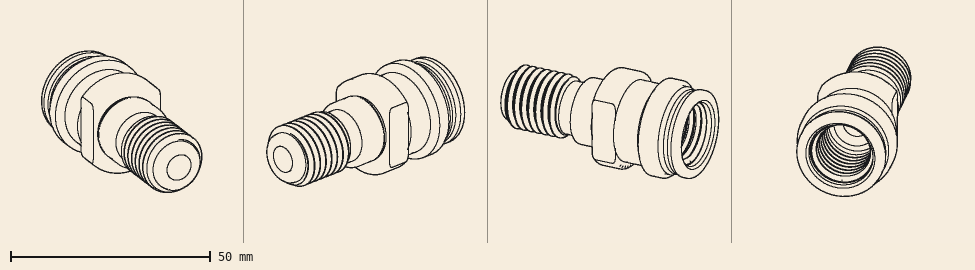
import cadquery as cq
import math

length = 53.1

socket_r = 11.25
socket_edge_fillet = 0.55
groove_bottom_r = 10.8
groove_start_x = 1.7
groove_end_x = 5.35
groove_flank_width = 1.3

flange_r = 12.505
flange_start_x = 6.95
flange_end_x = 10.3
flange_edge_fillet = 0.3
flange_foot_fillet = 0.25
shank_r = 10.5
flange_cone_angle = math.radians(57)

collar_start_x = 18.4
collar_end_x = 25.0
collar_fillet = 0.95
across_flats = 19.0

relief_r = 8.3
shoulder_r = 8.55
shoulder_start_x = 25.8
shoulder_end_x = 32.0
shoulder_fillet = 0.65

pitch = 12.0 / 6
thread_half_angle = math.radians(30)
thread_overlap = 0.1

spigot_root_r = 6.8
spigot_crest_r = 8.05
spigot_root_flat = 0.25
spigot_thread_start_x = 36.0
spigot_thread_end_x = 51.45
runout_angle = math.radians(45)
front_chamfer_angle = math.radians(60)
spigot_crest_x = 50.45
tip_r = 6.5
tip_fillet = 1.15

mouth_r = 8.8
entry_r = 8.2
entry_depth = 1.95
lead_in_r = 7.95
socket_minor_r = 6.85
socket_major_r = 8.0
socket_groove_flat = 0.25
socket_floor_x = 19.1
socket_thread_end_x = 17.5

bore_r = 3.4
bore_cone_r = 5.45
bore_cone_half_angle = math.radians(59)


def arc_tip(center_x, center_r, radius, angle_degrees):
    """Point on a circle in the X-radius plane."""
    angle = math.radians(angle_degrees)
    return (center_x + radius * math.cos(angle), center_r + radius * math.sin(angle))


def revolve_about_x(profile):
    return profile.close().revolve(360, (0, 0, 0), (1, 0, 0))


def socket_and_shank():
    """Outside from the socket face to the collar."""
    edge, foot, corner = socket_edge_fillet, flange_foot_fillet, flange_edge_fillet
    cone_width = (flange_r - shank_r) / math.tan(flange_cone_angle)
    return revolve_about_x(
        cq.Workplane("XY")
        .lineTo(0, socket_r - edge)
        .threePointArc(arc_tip(edge, socket_r - edge, edge, 135), (edge, socket_r))
        .lineTo(groove_start_x, socket_r)
        .lineTo(groove_start_x + groove_flank_width, groove_bottom_r)
        .lineTo(groove_end_x - groove_flank_width, groove_bottom_r)
        .lineTo(groove_end_x, socket_r)
        .lineTo(flange_start_x - foot, socket_r)
        .threePointArc(
            arc_tip(flange_start_x - foot, socket_r + foot, foot, -45),
            (flange_start_x, socket_r + foot),
        )
        .lineTo(flange_start_x, flange_r - corner)
        .threePointArc(
            arc_tip(flange_start_x + corner, flange_r - corner, corner, 135),
            (flange_start_x + corner, flange_r),
        )
        .lineTo(flange_end_x, flange_r)
        .lineTo(flange_end_x + cone_width, shank_r)
        .lineTo(collar_start_x, shank_r)
        .lineTo(collar_start_x, 0)
    )


def cylinder_along_x(start_x, end_x, radius):
    return cq.Workplane("YZ", origin=(start_x, 0, 0)).circle(radius).extrude(end_x - start_x)


def collar():
    """Round collar, rounded at both rims, with a wrench flat on the -Y and +Y sides."""
    width = collar_end_x - collar_start_x
    ring = cylinder_along_x(collar_start_x, collar_end_x, flange_r).edges().fillet(collar_fillet)
    center_x = (collar_start_x + collar_end_x) / 2
    flats = cq.Workplane("XY", origin=(center_x, 0, 0)).box(width, across_flats, 2 * flange_r)
    return ring.intersect(flats)


def shoulder():
    relief = cylinder_along_x(collar_end_x, shoulder_start_x, relief_r)
    drum = cylinder_along_x(shoulder_start_x, shoulder_end_x, shoulder_r)
    return relief.union(drum.faces(">X").edges().fillet(shoulder_fillet))


def helical_solid(start_x, turns, inner_r, inner_width, outer_r, outer_width, start_angle):
    """Right-hand helix of trapezoid section; start_angle is measured from +Y towards +Z."""
    helix = cq.Wire.makeHelix(pitch, turns * pitch, inner_r)
    section = (
        cq.Workplane("XZ")
        .moveTo(inner_r, -inner_width / 2)
        .lineTo(outer_r, -outer_width / 2)
        .lineTo(outer_r, outer_width / 2)
        .lineTo(inner_r, inner_width / 2)
        .close()
    )
    coil = section.sweep(cq.Workplane(obj=helix), isFrenet=True)
    along_x = coil.rotate((0, 0, 0), (1, 1, 1), 120)
    return along_x.rotate((0, 0, 0), (1, 0, 0), start_angle).translate((start_x, 0, 0))


def neck_end_trim():
    """Ring outside the cone on which the thread ridge rises from the neck."""
    inner_r = spigot_root_r - 2 * thread_overlap
    outer_r = spigot_crest_r + thread_overlap
    inner_x = spigot_thread_start_x + (inner_r - spigot_root_r) / math.tan(runout_angle)
    outer_x = spigot_thread_start_x + (outer_r - spigot_root_r) / math.tan(runout_angle)
    far_x = spigot_thread_start_x - 2 * pitch
    return revolve_about_x(
        cq.Workplane("XY")
        .moveTo(inner_x, inner_r)
        .lineTo(outer_x, outer_r)
        .lineTo(far_x, outer_r)
        .lineTo(far_x, inner_r)
    )


def tip_trim():
    """Ring outside the thread's front chamfer and the rounded tip."""
    outer_r = spigot_crest_r + thread_overlap
    chamfer_width = (outer_r - tip_r) / math.tan(front_chamfer_angle)
    round_x = length - tip_fillet
    round_r = tip_r - tip_fillet
    return revolve_about_x(
        cq.Workplane("XY")
        .moveTo(spigot_thread_end_x - chamfer_width, outer_r)
        .lineTo(spigot_thread_end_x, tip_r)
        .lineTo(round_x, tip_r)
        .threePointArc(arc_tip(round_x, round_r, tip_fillet, 45), (length, round_r))
        .lineTo(length + pitch, round_r)
        .lineTo(length + pitch, outer_r)
    )


def thread_ridge():
    """External thread, its base sunk slightly into the spigot core."""
    turns = math.ceil((spigot_thread_end_x - spigot_thread_start_x) / pitch) + 1
    base_r = spigot_root_r - thread_overlap
    root_width = pitch - spigot_root_flat
    base_width = root_width + 2 * thread_overlap * math.tan(thread_half_angle)
    crest_width = root_width - 2 * (spigot_crest_r - spigot_root_r) * math.tan(thread_half_angle)
    start_x = spigot_crest_x - (turns - 1) * pitch
    return helical_solid(start_x, turns, base_r, base_width, spigot_crest_r, crest_width, 90)


def threaded_spigot():
    core = cylinder_along_x(shoulder_end_x, length, spigot_root_r)
    return core.union(thread_ridge().cut(neck_end_trim())).cut(tip_trim())


def socket_bore():
    """Mouth chamfer, entry counterbore, lead-in cone, thread core, drill point and through bore."""
    entry_start_x = mouth_r - entry_r
    core_start_x = entry_depth + lead_in_r - socket_minor_r
    cone_end_x = socket_floor_x + (bore_cone_r - bore_r) / math.tan(bore_cone_half_angle)
    return revolve_about_x(
        cq.Workplane("XY")
        .lineTo(0, mouth_r)
        .lineTo(entry_start_x, entry_r)
        .lineTo(entry_depth, entry_r)
        .lineTo(entry_depth, lead_in_r)
        .lineTo(core_start_x, socket_minor_r)
        .lineTo(socket_floor_x, socket_minor_r)
        .lineTo(socket_floor_x, bore_cone_r)
        .lineTo(cone_end_x, bore_r)
        .lineTo(length, bore_r)
        .lineTo(length, 0)
    )


def socket_thread():
    turns = (socket_thread_end_x - entry_depth) / pitch
    cutter_r = socket_minor_r - thread_overlap
    cutter_width = socket_groove_flat + 2 * (socket_major_r - cutter_r) * math.tan(thread_half_angle)
    return helical_solid(
        entry_depth, turns, cutter_r, cutter_width, socket_major_r, socket_groove_flat, 270
    )


outside = socket_and_shank().union(collar()).union(shoulder()).union(threaded_spigot())
result = outside.cut(socket_bore()).cut(socket_thread())